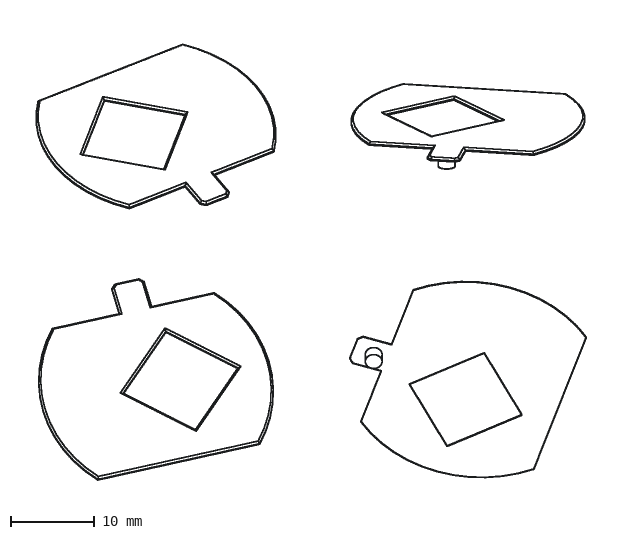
import cadquery as cq
import math

plate_length = 27.9
plate_width = 21.8
plate_thickness = 0.4
arc_radius = 17.0
bevel = 0.25

total_width = 25.92
tab_width = 4.0
tab_center_y = -0.28
tab_corner = 0.53

window_diagonal = 14.17

pin_diameter = 2.0
pin_length = 1.5
pin_center_x = 12.5

half_length = plate_length / 2
half_width = plate_width / 2
arc_center_offset = arc_radius - half_length
corner_y = math.sqrt(arc_radius**2 - half_width**2) - arc_center_offset
tab_end_x = total_width - half_width
tab_top_y = tab_center_y + tab_width / 2
tab_bottom_y = tab_center_y - tab_width / 2


def make_plate():
    """Plate and tab in one outline."""
    outline = (
        cq.Workplane("XY")
        .moveTo(-half_width, -corner_y)
        .threePointArc((0, -half_length), (half_width, -corner_y))
        .lineTo(half_width, tab_bottom_y)
        .lineTo(tab_end_x - tab_corner, tab_bottom_y)
        .lineTo(tab_end_x, tab_bottom_y + tab_corner)
        .lineTo(tab_end_x, tab_top_y - tab_corner)
        .lineTo(tab_end_x - tab_corner, tab_top_y)
        .lineTo(half_width, tab_top_y)
        .lineTo(half_width, corner_y)
        .threePointArc((0, half_length), (-half_width, corner_y))
        .close()
    )
    return outline.extrude(plate_thickness)


def make_window():
    """Square opening turned 45 degrees."""
    side = window_diagonal / math.sqrt(2)
    return (
        cq.Workplane("XY")
        .center(0, -arc_center_offset)
        .transformed(rotate=(0, 0, 45))
        .rect(side, side)
        .extrude(plate_thickness)
    )


def make_pin():
    """Round pin hanging below the tab."""
    return (
        cq.Workplane("XY")
        .center(pin_center_x, tab_center_y)
        .circle(pin_diameter / 2)
        .extrude(-pin_length)
    )


plate = make_plate().cut(make_window()).faces(">Z").edges().chamfer(bevel)
result = plate.union(make_pin())